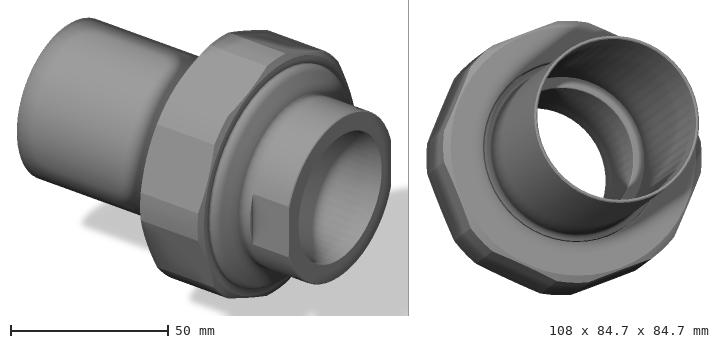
import cadquery as cq
import math

LENGTH = 108.0

NUT_START = 59.0
NUT_END = 83.8
NUT_CORNER_DIA = 84.7
NUT_ACROSS_FLATS = 81.5
NUT_FACE_DIA = 80.4
NUT_START_CHAMFER = 1.2
NUT_END_CHAMFER = 1.0
NUT_BORE_DIA = 58.5
NUT_BORE_CHAMFER = 0.3
NUT_SHOULDER_X = 64.8
NUT_THREAD_DIA = 72.3

TUBE_DIA = 54.0
TUBE_BORE_DIA = 52.0
TUBE_EDGE_CHAMFER = 0.3
NECK_X = 58.3
NECK_FILLET = 1.0
COLLAR_DIA = 58.0
FLANGE_DIA = 70.0
JOINT_X = 70.2

END_BORE_DIA = 44.8
END_BORE_CHAMFER = 0.2
RIM_DIA = 75.1
RIM_ROUND_X = 84.9
CONE_X = 86.9
CONE_DIA = 71.3
CONE_ANGLE = math.radians(66.5)
HUB_X = 90.4
HUB_DIA = 58.0
HUB_FOOT_FILLET = 0.9
HUB_EDGE_CHAMFER = 0.3
FLAT_START = 93.9
ACROSS_HUB_FLATS = 55.0


def revolve_about_x(profile):
    return profile.close().revolve(360, (0, 0, 0), (1, 0, 0))


def cylinder(start, end, diameter):
    return cq.Workplane("YZ", origin=(start, 0, 0)).circle(diameter / 2).extrude(end - start)


def make_tailpiece():
    tube_r = TUBE_DIA / 2
    bore_r = TUBE_BORE_DIA / 2
    collar_r = COLLAR_DIA / 2
    flange_r = FLANGE_DIA / 2
    collar_x = NECK_X + NECK_FILLET
    arc_offset = NECK_FILLET * math.sqrt(0.5)
    profile = (
        cq.Workplane("XY")
        .moveTo(TUBE_EDGE_CHAMFER, bore_r)
        .lineTo(0, bore_r + TUBE_EDGE_CHAMFER)
        .lineTo(0, tube_r - TUBE_EDGE_CHAMFER)
        .lineTo(TUBE_EDGE_CHAMFER, tube_r)
        .lineTo(NECK_X, tube_r)
        .threePointArc(
            (NECK_X + arc_offset, tube_r + NECK_FILLET - arc_offset),
            (collar_x, tube_r + NECK_FILLET),
        )
        .lineTo(collar_x, collar_r)
        .lineTo(NUT_SHOULDER_X, collar_r)
        .lineTo(NUT_SHOULDER_X, flange_r)
        .lineTo(JOINT_X, flange_r)
        .lineTo(JOINT_X, bore_r)
    )
    return revolve_about_x(profile)


def make_nut():
    flats_to_corners = 1 / math.cos(math.pi / 8)
    length = NUT_END - NUT_START
    octagon = (
        cq.Workplane("YZ", origin=(NUT_START, 0, 0))
        .polygon(8, NUT_ACROSS_FLATS * flats_to_corners)
        .extrude(length)
    )
    face_r = NUT_FACE_DIA / 2
    corner_r = NUT_CORNER_DIA / 2
    blank = revolve_about_x(
        cq.Workplane("XY")
        .moveTo(NUT_START, 0)
        .lineTo(NUT_START, face_r)
        .lineTo(NUT_START + NUT_START_CHAMFER, corner_r)
        .lineTo(NUT_END - NUT_END_CHAMFER, corner_r)
        .lineTo(NUT_END, face_r)
        .lineTo(NUT_END, 0)
    )
    bore_r = NUT_BORE_DIA / 2
    thread_r = NUT_THREAD_DIA / 2
    bore = revolve_about_x(
        cq.Workplane("XY")
        .moveTo(NUT_START, 0)
        .lineTo(NUT_START, bore_r + NUT_BORE_CHAMFER)
        .lineTo(NUT_START + NUT_BORE_CHAMFER, bore_r)
        .lineTo(NUT_SHOULDER_X, bore_r)
        .lineTo(NUT_SHOULDER_X, thread_r)
        .lineTo(NUT_END, thread_r)
        .lineTo(NUT_END, 0)
    )
    return octagon.intersect(blank).cut(bore)


def make_threaded_end():
    bore_r = END_BORE_DIA / 2
    spigot_r = NUT_THREAD_DIA / 2
    rim_r = RIM_DIA / 2
    hub_r = HUB_DIA / 2
    sin_cone = math.sin(CONE_ANGLE)
    cos_cone = math.cos(CONE_ANGLE)

    cone_start = (CONE_X, CONE_DIA / 2)
    round_length = CONE_X - RIM_ROUND_X
    round_drop = rim_r - CONE_DIA / 2
    half_sweep = CONE_ANGLE - math.atan2(round_drop, round_length)
    bulge = math.tan(half_sweep / 2)
    rim_mid = (
        RIM_ROUND_X + (round_length + bulge * round_drop) / 2,
        rim_r - (round_drop - bulge * round_length) / 2,
    )

    foot_center_r = hub_r + HUB_FOOT_FILLET
    cone_end = (HUB_X - HUB_FOOT_FILLET * sin_cone, foot_center_r - HUB_FOOT_FILLET * cos_cone)
    foot_mid = (
        HUB_X - HUB_FOOT_FILLET * math.sin(CONE_ANGLE / 2),
        foot_center_r - HUB_FOOT_FILLET * math.cos(CONE_ANGLE / 2),
    )
    body = revolve_about_x(
        cq.Workplane("XY")
        .moveTo(JOINT_X + END_BORE_CHAMFER, bore_r)
        .lineTo(JOINT_X, bore_r + END_BORE_CHAMFER)
        .lineTo(JOINT_X, spigot_r)
        .lineTo(NUT_END, spigot_r)
        .lineTo(NUT_END, rim_r)
        .lineTo(RIM_ROUND_X, rim_r)
        .threePointArc(rim_mid, cone_start)
        .lineTo(*cone_end)
        .threePointArc(foot_mid, (HUB_X, hub_r))
        .lineTo(LENGTH - HUB_EDGE_CHAMFER, hub_r)
        .lineTo(LENGTH, hub_r - HUB_EDGE_CHAMFER)
        .lineTo(LENGTH, bore_r)
    )

    flat_length = LENGTH - FLAT_START
    flats_slab = cq.Workplane("XY").box(flat_length, ACROSS_HUB_FLATS, HUB_DIA)
    flats_slab = flats_slab.translate((FLAT_START + flat_length / 2, 0, 0))
    outside_flats = cylinder(FLAT_START, LENGTH, HUB_DIA).cut(flats_slab)
    return body.cut(outside_flats)


tailpiece = make_tailpiece()
nut = make_nut()
threaded_end = make_threaded_end()

result = cq.Compound.makeCompound([tailpiece.val(), nut.val(), threaded_end.val()])